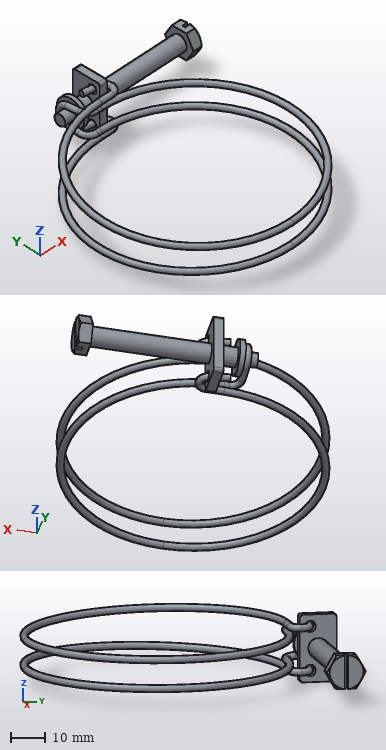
import cadquery as cq
import math

wire_diameter = 2.2
ring_inner_diameter = 75.0
ring_radius = (ring_inner_diameter + wire_diameter) / 2
outer_strand_z = 6.5

screw_y = 46.67
shank_diameter = 6.0
tip_diameter = 4.4
tip_end_x = -8.1
collar_diameter = 11.0
collar_thickness = 1.7
collar_x = -3.65
head_across_flats = 10.0
head_height = 4.0
head_x = 42.05
head_chamfer_height = 0.5
slot_width = 1.0
slot_depth = 2.0

plate_thickness = 3.0
plate_width = 11.0
plate_height = 20.0
plate_corner_radius = 1.0
plate_x = 3.0
wire_hole_diameter = 3.3
wire_hole_y = screw_y - 2.4

loop_clearance = 0.02
loop_x = collar_x - wire_diameter / 2 - loop_clearance
loop_radius = 3.35
loop_flare = math.radians(6.3)
loop_bend_radius = 3.3

inner_strand_z = loop_radius / math.cos(loop_flare) + (screw_y - ring_radius) * math.tan(loop_flare)

hook_straight = 5.2
hook_lower_radius = 2.6
hook_upper_radius = 3.0
hook_tilt = math.radians(8.0)
hook_end_x = -0.7


def arc_about(centre, radius, start_angle, end_angle, along, across):
    """Arc in the plane of the unit vectors along and across, angles measured from along."""
    def point(angle):
        return centre + along * (radius * math.cos(angle)) + across * (radius * math.sin(angle))

    middle_angle = (start_angle + end_angle) / 2
    return cq.Edge.makeThreePointArc(point(start_angle), point(middle_angle), point(end_angle))


def half_wire_edges(side):
    """Centreline from the loop leg to the hook end, on the +Z (side 1) or -Z (side -1) half."""
    axis_x = cq.Vector(1, 0, 0)
    axis_y = cq.Vector(0, 1, 0)
    leg_direction = cq.Vector(0, -math.cos(loop_flare), side * math.sin(loop_flare))

    leg_start = cq.Vector(
        loop_x,
        screw_y + loop_radius * math.sin(loop_flare),
        side * loop_radius * math.cos(loop_flare),
    )
    ring_start = cq.Vector(0, ring_radius, side * inner_strand_z)
    leg_length = (leg_start.y - ring_start.y) / math.cos(loop_flare) - loop_bend_radius
    leg_end = leg_start + leg_direction * leg_length
    bend_centre = leg_end + axis_x * loop_bend_radius
    bend = arc_about(bend_centre, loop_bend_radius, math.pi, math.pi / 2, axis_x, leg_direction)

    ring_far = cq.Vector(0, -ring_radius, side * inner_strand_z)
    ring_end = cq.Vector(0, ring_radius, side * outer_strand_z)
    flat_turn = cq.Edge.makeThreePointArc(
        ring_start, cq.Vector(ring_radius, 0, side * inner_strand_z), ring_far
    )
    climb = ring_end - ring_far
    climb_turn = cq.Edge.makeThreePointArc(
        ring_far, (ring_far + ring_end) * 0.5 - axis_x * (climb.Length / 2), ring_end
    )

    hook_start = ring_end + axis_x * hook_straight
    lower_centre = hook_start + axis_y * hook_lower_radius
    lower_arc = arc_about(lower_centre, hook_lower_radius, -math.pi / 2, 0, axis_x, axis_y)
    upper_centre = lower_centre + axis_x * (hook_lower_radius - hook_upper_radius)
    upper_arc = arc_about(
        upper_centre, hook_upper_radius, 0, math.pi / 2 - hook_tilt, axis_x, axis_y
    )
    upper_end = upper_arc.endPoint()
    hook_end = upper_end + cq.Vector(-1, math.tan(hook_tilt), 0) * (upper_end.x - hook_end_x)

    return [
        cq.Edge.makeLine(leg_start, leg_end),
        bend,
        cq.Edge.makeLine(bend.endPoint(), ring_start),
        flat_turn,
        climb_turn,
        cq.Edge.makeLine(ring_end, hook_start),
        lower_arc,
        upper_arc,
        cq.Edge.makeLine(upper_end, hook_end),
    ]


def make_wire_clamp():
    upper = half_wire_edges(1)
    lower = half_wire_edges(-1)
    loop = cq.Edge.makeThreePointArc(
        lower[0].startPoint(),
        cq.Vector(loop_x, screw_y + loop_radius, 0),
        upper[0].startPoint(),
    )
    centreline = cq.Wire.assembleEdges(lower[::-1] + [loop] + upper)
    hook_end = lower[-1].endPoint()
    section = cq.Plane(hook_end, xDir=(0, 0, 1), normal=lower[-1].tangentAt(1))
    return cq.Workplane(section).circle(wire_diameter / 2).sweep(cq.Workplane(centreline))


def rod(diameter, start_x, end_x):
    """Cylinder on the screw axis."""
    plane = cq.Workplane("YZ", origin=(start_x, screw_y, 0))
    return plane.circle(diameter / 2).extrude(end_x - start_x)


def make_screw_head():
    across_corners = head_across_flats / math.cos(math.pi / 6)
    head_end_x = head_x + head_height
    head = (
        cq.Workplane("YZ", origin=(head_x, screw_y, 0))
        .polygon(6, across_corners)
        .extrude(head_height)
    )
    envelope = rod(across_corners, head_x, head_end_x).faces(">X").chamfer(
        head_chamfer_height, (across_corners - head_across_flats) / 2
    )
    slot = cq.Workplane("XY").box(2 * slot_depth, slot_width, 2 * across_corners)
    return head.intersect(envelope).cut(slot.translate((head_end_x, screw_y, 0)))


def make_screw():
    tip = rod(tip_diameter, tip_end_x, collar_x)
    collar = rod(collar_diameter, collar_x, collar_x + collar_thickness)
    shank = rod(shank_diameter, collar_x, head_x)
    return tip.union(collar).union(shank).union(make_screw_head())


def make_nut_plate():
    plate = (
        cq.Workplane("YZ", origin=(plate_x, screw_y, 0))
        .rect(plate_width, plate_height)
        .extrude(plate_thickness)
        .edges("|X")
        .fillet(plate_corner_radius)
    )
    plate = plate.cut(rod(shank_diameter, plate_x, plate_x + plate_thickness))
    wire_holes = (
        cq.Workplane("YZ", origin=(plate_x, wire_hole_y, 0))
        .pushPoints([(0, outer_strand_z), (0, -outer_strand_z)])
        .circle(wire_hole_diameter / 2)
        .extrude(plate_thickness)
    )
    return plate.cut(wire_holes)


wire_clamp = make_wire_clamp()
screw = make_screw()
nut_plate = make_nut_plate()

result = cq.Compound.makeCompound([body.solids().val() for body in (wire_clamp, screw, nut_plate)])